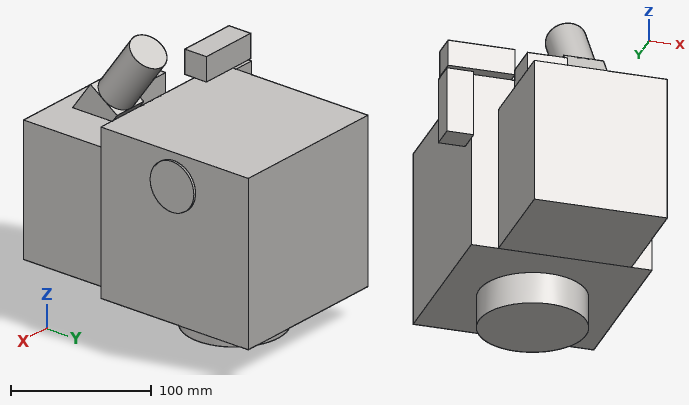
import cadquery as cq
import math


main_side = 135.0
foot_diameter = 80.0
foot_height = 24.0

overall_depth = 218.5
front_width = 99.5
front_depth = overall_depth - main_side
front_height = 110.0
front_center_x = 2.5

side_gap = 1.0
disc_diameter = 40.0
disc_thickness = 2.0
disc_center_z = 109.2

bar_length = 50.0
bar_side = 20.0
bar_center_y = -66.2
top_bar_left_x = -87.6
side_bar_top_z = 132.8

tube_diameter = 30.0
tube_length = 50.0
tube_tilt = 35.0
tube_center_x = -0.7
tube_base_y = -108.2
tube_base_z = 124.5

small_box_side = tube_diameter
small_box_height = 16.5
small_box_center_y = -115.0

main_front_y = -main_side / 2
main_right_x = main_side / 2


def box_on(width, depth, height, center_x, center_y, bottom_z):
    """Upright box standing on the given height."""
    return cq.Workplane("XY").box(width, depth, height, centered=(True, True, False)).translate(
        (center_x, center_y, bottom_z)
    )


def make_foot():
    return cq.Workplane("XY").circle(foot_diameter / 2).extrude(-foot_height)


def make_disc():
    plane = cq.Plane(origin=(main_right_x + side_gap, 0, disc_center_z), xDir=(0, 1, 0), normal=(1, 0, 0))
    return cq.Workplane(plane).circle(disc_diameter / 2).extrude(disc_thickness)


def tube_plane():
    """Plane between tube and base block; its normal leans backwards along the tube."""
    tilt = math.radians(tube_tilt)
    return cq.Plane(
        origin=(tube_center_x, tube_base_y, tube_base_z),
        xDir=(1, 0, 0),
        normal=(0, math.sin(tilt), math.cos(tilt)),
    )


def make_tube():
    return cq.Workplane(tube_plane()).circle(tube_diameter / 2).extrude(tube_length)


def make_base_block():
    """Tilted square block, cut flat where it stands on the front box."""
    block = cq.Workplane(tube_plane()).rect(tube_diameter, tube_diameter).extrude(-tube_length)
    space_above = box_on(overall_depth, overall_depth, overall_depth, tube_center_x, tube_base_y, front_height)
    return cq.Workplane(block.intersect(space_above).solids().val())


main_box = box_on(main_side, main_side, main_side, 0, 0, 0)
foot = make_foot()
front_box = box_on(
    front_width, front_depth, front_height, front_center_x, main_front_y - front_depth / 2, 0
)
disc = make_disc()
top_bar = box_on(
    bar_length, bar_side, bar_side, top_bar_left_x + bar_length / 2, bar_center_y, main_side
)
side_bar = box_on(
    bar_side,
    bar_side,
    bar_length,
    -main_right_x - side_gap - bar_side / 2,
    bar_center_y,
    side_bar_top_z - bar_length,
)
tube = make_tube()
base_block = make_base_block()
small_box = box_on(
    small_box_side,
    small_box_side,
    small_box_height,
    tube_center_x - (tube_diameter + small_box_side) / 2,
    small_box_center_y,
    front_height,
)

bodies = [main_box, foot, front_box, disc, top_bar, side_bar, tube, base_block, small_box]
result = cq.Compound.makeCompound([body.val() for body in bodies])